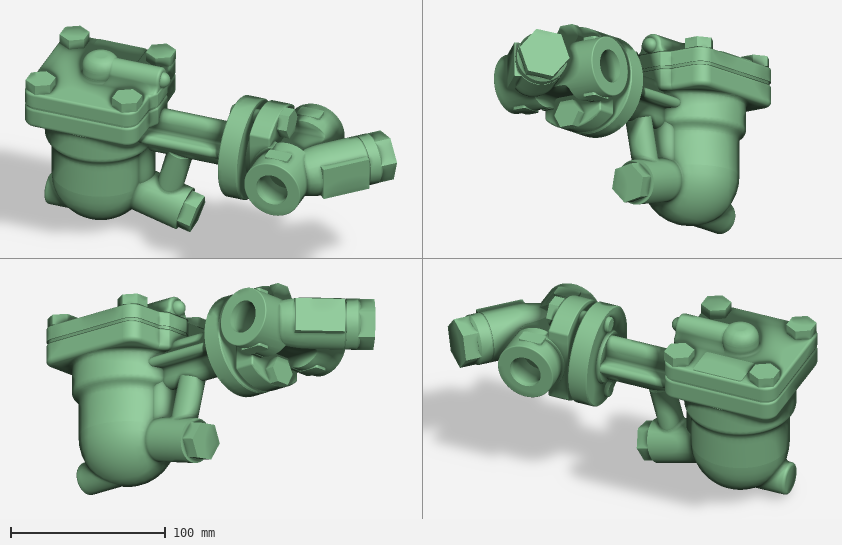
import cadquery as cq
import math


bowl_radius = 32.0
shoulder_radius = 36.2
step_bottom = 55.0
step_top = 63.0
neck_flare = 2.0
cover_half = 39.8
cover_corner = 8.6
cover_bump_half_width = 14.5
cover_bump_tip_half_width = 8.5
cover_bump_reach = 43.0
cover_side_reach = 39.4
cover_side_draft = 0.7
flange_bottom = 80.2
flange_top = 94.0
gasket_top = 96.0
cover_top = 105.5
gasket_inset = 0.7
flange_bottom_edge = 3.0
cover_edge = 1.7

cover_bolt_offset = 30.0
cover_bolt_flats = 17.0
bolt_head_height = 6.7
dome_radius = 12.0
dome_top = 120.0
dome_edge = 7.7
dome_foot = 2.0
arm_radius = 8.0
arm_axis_z = 110.6
arm_end = 42.7
arm_edge = 2.0
knob_radius = 5.0
plate_length = 34.0
plate_width = 22.3
plate_height = 0.7
plate_corner = 1.7
plate_center_y = 27.0

plug_diameter = 21.5
plug_reach = 35.5
plug_edge = 2.0
plug_bottom = 0.7
drain_tilt = 15.0
drain_diameter = 29.0
drain_end_x = 58.3
drain_end_z = 16.3
drain_length = 52.8
drain_plug_width = 22.5
drain_plug_height = 9.0
drain_plug_turn = 8.0
passage_diameter = 21.5
passage_x = 26.2
passage_bottom = 19.2
leg_diameter = 17.0
leg_foot_x = 47.8
leg_foot_z = 31.2
leg_top_z = 59.5
port_blend = 2.0
drain_blend = 1.2

pipe_axis_z = 72.2
pipe_web_radius = 6.2
pipe_web_half_height = 16.0
pipe_rib_radius = 3.0
pipe_rib_half_width = 16.8
pipe_fillet = 1.7
collar_start = 91.7
collar_diameter = 33.5
collar_foot_diameter = 36.0
trap_flange_start = 93.8
trap_flange_end = 107.0
valve_flange_start = 111.5
valve_flange_end = 125.8
round_flange_diameter = 67.0
valve_flange_half_width = 22.3
flange_edge = 0.7
valve_flange_corner = 1.7
valve_flange_back_edge = 1.2
spacer_diameter = 35.0
stud_offset = 25.2
stud_diameter = 10.0
stud_tip = 91.0
stud_tip_diameter = 8.6
stud_head_flats = 16.8

valve_x = 135.0
valve_y = -2.5
valve_length = 79.7
valve_diameter = 39.0
valve_edge = 0.7
valve_bore = 21.5
valve_bore_depth = 21.5
neck_half_length = 14.5
neck_half_height = 11.8
neck_fillet = 3.0
saddle_end = 128.0
saddle_half_height = 18.7
saddle_half_width = 23.0
saddle_radius = 21.4
wrench_pad_length = 15.8
wrench_pad_width = 9.8
wrench_pad_center = 28.3
wrench_pad_half_height = 19.7
wrench_pad_corner = 1.7

branch_angle = 45.0
branch_end_x = 188.6
branch_end_y = 25.0
branch_root_radius = 12.5
branch_radius = 16.5
branch_length = 66.0
branch_taper_length = 24.0
branch_cap_start = 18.5
branch_cap_end = 11.0
branch_cap_edge = 1.7
branch_groove_width = 1.0
branch_groove_depth = 0.7
branch_hex_flats = 28.5
branch_hex_turn = -11.0
branch_pad_start = 14.0
branch_pad_end = 46.0
branch_pad_half_height = 11.0
branch_pad_reach = 17.0
branch_pad_root = 9.5


def cylinder(plane, radius, length):
    """Round bar that starts at the plane's origin and follows its normal."""
    return cq.Workplane(plane).circle(radius).extrude(length)


def hexagon(plane, flats, length, turn=0.0):
    """Hexagonal bar with its first corner turned from the plane's X axis."""
    bar = cq.Workplane(plane).polygon(6, flats / math.cos(math.pi / 6)).extrude(length)
    axis_end = plane.origin + plane.zDir
    return bar.rotate(plane.origin.toTuple(), axis_end.toTuple(), turn)


def along_x(x, y=0.0, z=pipe_axis_z):
    """Plane across the X axis, with its own X axis along +Y."""
    return cq.Plane(origin=(x, y, z), xDir=(0, 1, 0), normal=(1, 0, 0))


def level(z, x=0.0, y=0.0):
    """Horizontal plane at height z, with its own X axis along +Y."""
    return cq.Plane(origin=(x, y, z), xDir=(0, 1, 0), normal=(0, 0, 1))


def bowl():
    """Round-bottomed bowl that widens in an S-curve to a shoulder and flares into the flange."""
    diagonal = math.sqrt(0.5) * bowl_radius
    step_middle = ((bowl_radius + shoulder_radius) / 2, (step_bottom + step_top) / 2)
    return (
        cq.Workplane("XZ")
        .threePointArc((diagonal, bowl_radius - diagonal), (bowl_radius, bowl_radius))
        .lineTo(bowl_radius, step_bottom)
        .tangentArcPoint(step_middle, relative=False)
        .tangentArcPoint((shoulder_radius, step_top), relative=False)
        .lineTo(shoulder_radius, flange_bottom - neck_flare)
        .tangentArcPoint((shoulder_radius + neck_flare, flange_bottom), relative=False)
        .lineTo(0, flange_bottom)
        .close()
        .revolve(360, (0, 0, 0), (0, 1, 0))
    )


def cover_slab(bottom, top, inset=0.0):
    """Rounded square slab with a low bump on its +X side."""
    half = cover_half - inset
    side = cover_side_reach - inset
    return (
        cq.Workplane("XY", origin=(0, 0, bottom))
        .moveTo(-half, -half)
        .lineTo(side - cover_side_draft, -half)
        .lineTo(side, -cover_bump_half_width)
        .lineTo(cover_bump_reach - inset, -cover_bump_tip_half_width)
        .lineTo(cover_bump_reach - inset, cover_bump_tip_half_width)
        .lineTo(side, cover_bump_half_width)
        .lineTo(side - cover_side_draft, half)
        .lineTo(-half, half)
        .close()
        .extrude(top - bottom)
        .edges("|Z and (<Y or >Y)")
        .fillet(cover_corner)
    )


def trap_shell():
    """Bowl, gasket and cover joined between two rounded flanges."""
    body_flange = cover_slab(flange_bottom, flange_top)
    body_flange = body_flange.faces("<Z").edges().fillet(flange_bottom_edge)
    body_flange = body_flange.faces(">Z").edges().fillet(cover_edge)
    gasket = cover_slab(flange_top, gasket_top, gasket_inset)
    cover = cover_slab(gasket_top, cover_top).faces(">Z").edges().fillet(cover_edge)
    return bowl().union(body_flange).union(gasket).union(cover)


def cover_bolts():
    """Hexagonal bolt heads on the four corners of the cover."""
    heads = cq.Workplane()
    for x in (-cover_bolt_offset, cover_bolt_offset):
        for y in (-cover_bolt_offset, cover_bolt_offset):
            heads = heads.add(hexagon(level(cover_top, x, y), cover_bolt_flats, bolt_head_height))
    return heads.combine()


def cover_dome():
    """Rounded dome on the bowl axis with a curved foot."""
    dome = cylinder(level(cover_top), dome_radius, dome_top - cover_top)
    dome = dome.faces(">Z").edges().fillet(dome_edge)
    foot = (
        cq.Workplane("XZ")
        .moveTo(0, cover_top)
        .lineTo(dome_radius + dome_foot, cover_top)
        .radiusArc((dome_radius, cover_top + dome_foot), dome_foot)
        .lineTo(0, cover_top + dome_foot)
        .close()
        .revolve(360, (0, 0, 0), (0, 1, 0))
    )
    return dome.union(foot)


def cover_arm():
    """Half-round arm from the dome to the +X side, with curved feet and an end knob."""
    foot = arm_axis_z - cover_top
    foot_half_width = arm_radius + foot
    arm = (
        cq.Workplane(along_x(0, 0, cover_top))
        .moveTo(-foot_half_width, 0)
        .radiusArc((-arm_radius, foot), -foot)
        .threePointArc((0, foot + arm_radius), (arm_radius, foot))
        .radiusArc((foot_half_width, 0), -foot)
        .close()
        .extrude(arm_end)
    )
    arm = arm.faces(">X").edges("not <Z").fillet(arm_edge)
    knob = cq.Workplane(along_x(arm_end, 0, arm_axis_z)).sphere(knob_radius)
    return arm.union(knob)


def name_plate():
    """Thin raised pad beside the dome."""
    return (
        cq.Workplane("XY", origin=(0, plate_center_y, cover_top))
        .rect(plate_length, plate_width)
        .extrude(plate_height)
        .edges("|Z")
        .fillet(plate_corner)
    )


def side_plug():
    """Round plug that leaves the bowl bottom towards -X."""
    plane = along_x(-plug_reach, 0, plug_bottom + plug_diameter / 2)
    plug = cylinder(plane, plug_diameter / 2, plug_reach)
    return plug.faces("<X").edges().fillet(plug_edge)


def drain_port():
    """Tilted drain housing with a hexagonal plug on its end."""
    tilt = math.radians(drain_tilt)
    outward = cq.Vector(math.cos(tilt), 0, -math.sin(tilt))
    end = cq.Vector(drain_end_x, 0, drain_end_z)
    root_plane = cq.Plane(origin=end - outward * drain_length, xDir=(0, 1, 0), normal=outward)
    end_plane = cq.Plane(origin=end, xDir=(0, 1, 0), normal=outward)
    housing = cylinder(root_plane, drain_diameter / 2, drain_length)
    plug = hexagon(end_plane, drain_plug_width, drain_plug_height, drain_plug_turn)
    return housing.union(plug)


def passages():
    """Upright passage beside the bowl and the leg that joins the drain to the pipe."""
    upright = cylinder(level(passage_bottom, passage_x), passage_diameter / 2, pipe_axis_z - passage_bottom)
    tilt = math.radians(drain_tilt)
    leg_plane = cq.Plane(
        origin=(leg_foot_x, 0, leg_foot_z), xDir=(0, 1, 0), normal=(math.sin(tilt), 0, math.cos(tilt))
    )
    leg_length = (leg_top_z - leg_foot_z) / math.cos(tilt)
    leg = cylinder(leg_plane, leg_diameter / 2, leg_length)
    return upright.union(leg)


def pipe():
    """Double pipe: an upright rounded web crossed by a flat rounded rib."""
    web = cq.Workplane(along_x(0)).slot2D(2 * pipe_web_half_height, 2 * pipe_web_radius, 90)
    rib = cq.Workplane(along_x(0)).slot2D(2 * pipe_rib_half_width, 2 * pipe_rib_radius)
    web = web.extrude(trap_flange_start)
    rib = rib.extrude(trap_flange_start)
    inner_corners = cq.selectors.BoxSelector(
        (0, -pipe_rib_half_width / 2, pipe_axis_z - pipe_web_half_height / 2),
        (trap_flange_start, pipe_rib_half_width / 2, pipe_axis_z + pipe_web_half_height / 2),
    )
    return web.union(rib).edges("|X").edges(inner_corners).fillet(pipe_fillet)


def trap_flange():
    """Round flange with a conical collar, a raised joint face and two stud holes."""
    collar = (
        cq.Workplane(along_x(collar_start))
        .circle(collar_diameter / 2)
        .workplane(offset=trap_flange_start - collar_start)
        .circle(collar_foot_diameter / 2)
        .loft()
    )
    thickness = trap_flange_end - trap_flange_start
    disc = cylinder(along_x(trap_flange_start), round_flange_diameter / 2, thickness)
    disc = disc.edges().chamfer(flange_edge)
    face = cylinder(along_x(trap_flange_end), spacer_diameter / 2, valve_flange_start - trap_flange_end)
    flange = collar.union(disc).union(face)
    for side in (-1, 1):
        hole_plane = along_x(stud_tip, 0, pipe_axis_z + side * stud_offset)
        flange = flange.cut(cylinder(hole_plane, stud_diameter / 2, valve_flange_start - stud_tip))
    return flange


def blend(body, low_corner, high_corner, radius):
    """Fillet the curved seams whose centres lie in the box between the two corners."""
    zone = cq.selectors.BoxSelector(low_corner, high_corner)
    return body.edges("%BSPLINE").edges(zone).fillet(radius)


def trap():
    """Complete trap with its ports, connecting pipe and round flange."""
    plug_low = (-bowl_radius, -plug_diameter / 2, 0)
    plug_high = (0, plug_diameter / 2, plug_diameter)
    leg_low = (shoulder_radius, -drain_diameter / 2, 0)
    leg_high = (drain_end_x, drain_diameter / 2, leg_top_z)
    drain_low = (0, -drain_diameter / 2, 0)
    drain_high = (bowl_radius, drain_diameter / 2, bowl_radius)

    body = blend(trap_shell().union(side_plug()), plug_low, plug_high, port_blend)
    lower_ports = blend(drain_port().union(passages()), leg_low, leg_high, port_blend)
    body = blend(body.union(lower_ports), drain_low, drain_high, drain_blend)
    for feature in (pipe(), trap_flange(), cover_bolts(), cover_dome(), cover_arm(), name_plate()):
        body = body.union(feature)
    return body


def valve_flange():
    """Round flange with two flat sides, for the valve."""
    thickness = valve_flange_end - valve_flange_start
    disc = cylinder(along_x(valve_flange_start), round_flange_diameter / 2, thickness)
    sides = cq.Workplane(along_x(valve_flange_start)).rect(2 * valve_flange_half_width, round_flange_diameter)
    flange = disc.intersect(sides.extrude(thickness))
    flange = flange.edges("|X").fillet(valve_flange_corner)
    flange = flange.faces("<X").edges().fillet(flange_edge)
    flange = flange.faces(">X").edges().fillet(valve_flange_back_edge)
    return flange


def studs():
    """Two headed studs that join the valve flange to the trap flange."""
    shapes = cq.Workplane()
    for side in (-1, 1):
        z = pipe_axis_z + side * stud_offset
        shank = cylinder(along_x(stud_tip, 0, z), stud_diameter / 2, valve_flange_end - stud_tip)
        shank = shank.faces("<X").edges().chamfer((stud_diameter - stud_tip_diameter) / 2)
        head = hexagon(along_x(valve_flange_end, 0, z), stud_head_flats, bolt_head_height)
        shapes = shapes.add(shank.union(head))
    return shapes.combine()


def across(length, y=0.0):
    """Plane across the valve's Y axis at the +Y end of a bar of that length centred on y."""
    return cq.Plane(origin=(valve_x, y + length / 2, pipe_axis_z), xDir=(1, 0, 0), normal=(0, -1, 0))


def valve_barrel():
    """Cylinder along Y with a thicker saddle that joins it to the flange."""
    barrel = cylinder(across(valve_length, valve_y), valve_diameter / 2, valve_length)
    barrel = barrel.edges("%CIRCLE").fillet(valve_edge)
    saddle = cylinder(across(2 * saddle_half_width), saddle_radius, 2 * saddle_half_width)
    limits = cq.Workplane(along_x(valve_flange_start)).rect(2 * saddle_half_width, 2 * saddle_half_height)
    return barrel.union(saddle.intersect(limits.extrude(saddle_end - valve_flange_start)))


def neck_recess(side):
    """Space above (side 1) or below (side -1) the flat middle of the valve, behind the flange."""
    floor = cq.Workplane(along_x(valve_flange_end)).center(0, side * (neck_half_height + valve_diameter / 2))
    recess = floor.rect(2 * neck_half_length, valve_diameter).extrude(valve_diameter)
    return recess.edges("|X").edges("<Z" if side > 0 else ">Z").fillet(neck_fillet)


def wrench_pads():
    """Rounded blocks through the barrel near both ends, flat above and below."""
    pads = cq.Workplane()
    bottom = pipe_axis_z - wrench_pad_half_height
    for side in (-1, 1):
        pad = (
            cq.Workplane(level(bottom, valve_x, valve_y + side * wrench_pad_center))
            .rect(wrench_pad_width, wrench_pad_length)
            .extrude(2 * wrench_pad_half_height)
            .edges("|Z")
            .fillet(wrench_pad_corner)
        )
        pads = pads.add(pad)
    return pads.combine()


def strainer_branch():
    """Tapered round branch with a cap ring, a hexagonal cap and a flat side pad."""
    turn = math.radians(branch_angle)
    outward = cq.Vector(math.cos(turn), math.sin(turn), 0)
    sideways = cq.Vector(math.sin(turn), -math.cos(turn), 0)
    end = cq.Vector(branch_end_x, branch_end_y, pipe_axis_z)
    root = end - outward * branch_length
    lengthwise = cq.Plane(origin=root, xDir=outward, normal=(0, 0, 1))
    groove_end = branch_length - branch_cap_start
    groove_start = groove_end - branch_groove_width
    cap_end = branch_length - branch_cap_end
    body = (
        cq.Workplane(lengthwise)
        .lineTo(cap_end + branch_cap_edge, 0)
        .lineTo(cap_end + branch_cap_edge, branch_radius - branch_cap_edge)
        .lineTo(cap_end, branch_radius)
        .lineTo(groove_end, branch_radius)
        .lineTo(groove_end, branch_radius - branch_groove_depth)
        .lineTo(groove_start, branch_radius - branch_groove_depth)
        .lineTo(groove_start, branch_radius)
        .lineTo(branch_taper_length, branch_radius)
        .tangentArcPoint((0, branch_root_radius), relative=False)
        .close()
        .revolve(360, (0, 0, 0), (1, 0, 0))
    )
    hex_plane = cq.Plane(origin=root + outward * cap_end, xDir=sideways, normal=outward)
    cap = hexagon(hex_plane, branch_hex_flats, branch_cap_end, branch_hex_turn)
    pad = cq.Workplane(lengthwise).box(
        branch_pad_end - branch_pad_start,
        branch_pad_reach - branch_pad_root,
        2 * branch_pad_half_height,
    )
    pad_middle = outward * ((branch_pad_start + branch_pad_end) / 2)
    pad_middle += sideways * ((branch_pad_reach + branch_pad_root) / 2)
    return body.union(cap).union(pad.translate(pad_middle))


def valve():
    """Complete valve with its flange, studs, strainer branch and a blind bore in each end."""
    body = valve_flange().union(valve_barrel())
    for side in (-1, 1):
        body = body.cut(neck_recess(side))
    body = body.union(studs()).union(wrench_pads()).union(strainer_branch())
    bore = cylinder(across(valve_length, valve_y), valve_bore / 2, valve_length)
    solid_length = valve_length - 2 * valve_bore_depth
    solid_middle = cylinder(across(solid_length, valve_y), valve_bore / 2, solid_length)
    return body.cut(bore.cut(solid_middle))


trap_body = trap()
valve_assembly = valve()
result = cq.Compound.makeCompound([trap_body.val(), valve_assembly.val()])